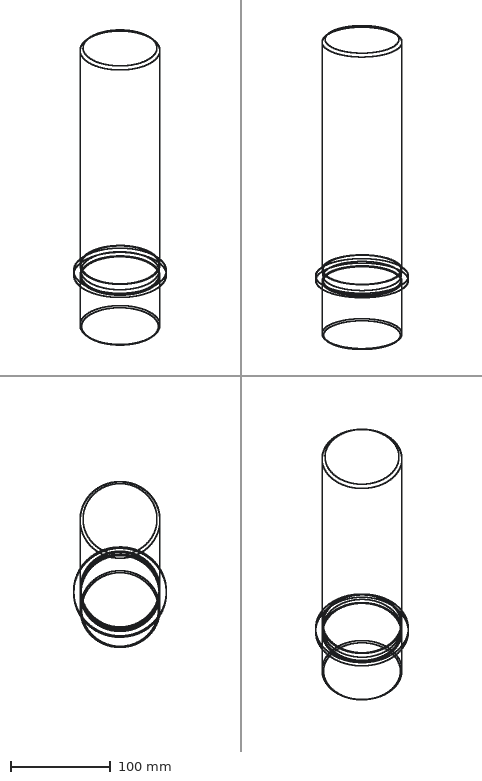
import cadquery as cq

total_height = 319.0
body_radius = 80.0 / 2
neck_radius = 78.0 / 2
flange_radius = 92.8 / 2

neck_bottom = 58.0
flange_bottom = 59.0
flange_top = 63.8
neck_top = 70.5

top_chamfer = 3.0
foot_chamfer = 1.5


def cylinder(radius, bottom, top):
    """Upright cylinder on the Z axis between two heights."""
    return cq.Workplane("XY").workplane(offset=bottom).circle(radius).extrude(top - bottom)


base = cylinder(body_radius, 0, neck_bottom).faces("<Z").chamfer(foot_chamfer)
column = cylinder(body_radius, neck_top, total_height).faces(">Z").chamfer(top_chamfer)

neck = cylinder(neck_radius, neck_bottom, neck_top)
flange = cylinder(flange_radius, flange_bottom, flange_top)

result = base.union(neck).union(flange).union(column)